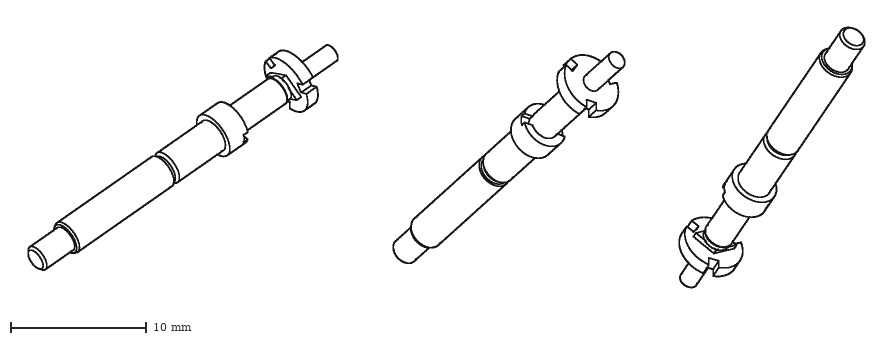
import cadquery as cq


tip_radius = 1.02
tip_length = 3.0
tip_chamfer = 0.2

barrel_radius = 1.33
barrel_length = 14.95
barrel_chamfer_length = 0.2
barrel_chamfer_depth = 0.1
groove_start = 4.65
groove_length = 0.55
groove_radius = 1.15
groove_ramp_length = 0.25

collar_radius = 1.8
collar_length = 1.85
collar_slot_width = 0.8
collar_slot_depth = 0.4

neck_radius = 1.13
neck_length = 4.6
neck_rear_radius = 1.05
neck_rear_length = 0.45

plate_half_width = 1.65
plate_half_height = 1.07
plate_length = 0.45

flange_radius = 2.35
flange_length = 1.05
notch_count = 3
notch_width = 0.8
notch_floor_radius = 1.65
first_notch_angle = 30

tail_radius = 0.7
tail_length = 3.55

barrel_end = -barrel_length
tip_end = barrel_end - tip_length
groove_front = -groove_start - groove_length
groove_rear = -groove_start
collar_rear = collar_length
neck_rear = collar_rear + neck_length
plate_front = neck_rear + neck_rear_length
flange_front = plate_front + plate_length
flange_rear = flange_front + flange_length


def section_plane(y):
    """Plane across the pin at y: local x is -X, local y is Z, extrusion runs toward +Y."""
    return cq.Workplane(cq.Plane(origin=(0, y, 0), xDir=(-1, 0, 0), normal=(0, 1, 0)))


def make_shaft():
    """Tip, grooved barrel and neck as one turned body."""
    profile = [
        (0, tip_end),
        (tip_radius - tip_chamfer, tip_end),
        (tip_radius, tip_end + tip_chamfer),
        (tip_radius, barrel_end),
        (barrel_radius - barrel_chamfer_depth, barrel_end),
        (barrel_radius, barrel_end + barrel_chamfer_length),
        (barrel_radius, groove_front),
        (groove_radius, groove_front),
        (groove_radius, groove_rear - groove_ramp_length),
        (barrel_radius, groove_rear),
        (barrel_radius, 0),
        (neck_radius, 0),
        (neck_radius, neck_rear),
        (neck_rear_radius, neck_rear),
        (neck_rear_radius, plate_front),
        (0, plate_front),
    ]
    outline = cq.Workplane("XY").polyline(profile).close()
    return outline.revolve(360, (0, 0, 0), (0, 1, 0))


def make_collar():
    """Collar with a slot along X across its rear face; the neck is left whole inside it."""
    collar = section_plane(0).circle(collar_radius).extrude(collar_length)
    slot_floor = section_plane(collar_rear - collar_slot_depth)
    slot = slot_floor.rect(2 * collar_radius, collar_slot_width).extrude(collar_slot_depth)
    return collar.cut(slot)


def make_plate():
    corners = [
        (plate_half_width, 0),
        (0, plate_half_height),
        (-plate_half_width, 0),
        (0, -plate_half_height),
    ]
    return section_plane(plate_front).polyline(corners).close().extrude(plate_length)


def make_flange():
    """Round flange with straight notches evenly spaced around its rim."""
    face = section_plane(flange_front)
    flange = face.circle(flange_radius).extrude(flange_length)
    notch_reach = flange_radius - notch_floor_radius
    notch_center = notch_floor_radius + notch_reach / 2
    notch = face.center(notch_center, 0).rect(notch_reach, notch_width).extrude(flange_length)
    for index in range(notch_count):
        angle = first_notch_angle + index * 360 / notch_count
        flange = flange.cut(notch.rotate((0, 0, 0), (0, 1, 0), angle))
    return flange


def make_tail():
    return section_plane(flange_rear).circle(tail_radius).extrude(tail_length)


result = make_shaft().union(make_collar()).union(make_plate()).union(make_flange()).union(make_tail())